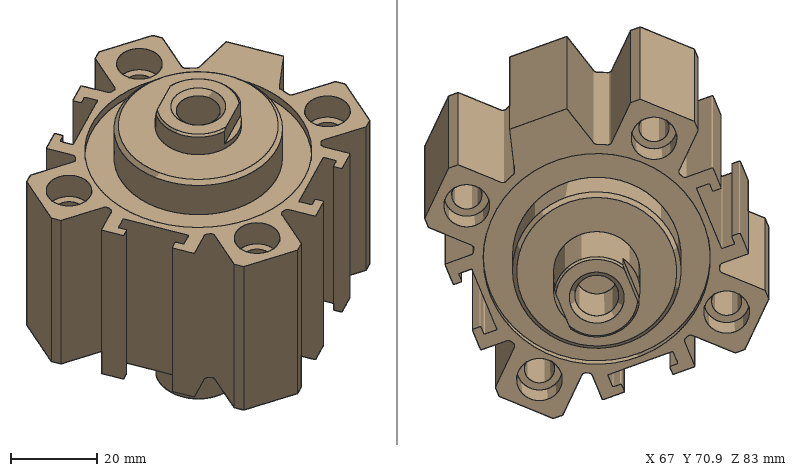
import cadquery as cq
import math


TOTAL_LENGTH = 83.0
HOUSING_HEIGHT = 45.0
COLLAR_HEIGHT = 8.0
ROD_TOP_EXTENSION = 6.0

BODY_SIDE = 67.0
CORE_RADIUS = 28.55
LUG_WIDTH = 17.1
LUG_REACH = 40.5
POCKET_FILLET = 1.0

RAIL_WIDTH = 23.0
RAIL_REACH = 33.3
SLOT_WIDTH = 16.2
SLOT_MOUTH_WIDTH = 11.95
SLOT_FLOOR = 27.9
LIP_THICKNESS = 2.15
RAIL_FILLET = 0.25
RAIL_ANGLES = (-90, 0, 90)

BOSS_REACH = 37.4
BOSS_TOP_WIDTH = 14.2
BOSS_ROOT = 24.9
BOSS_TAPER = 15.0

HOLE_PITCH = 46.5
HOLE_DIAMETER = 7.0
COUNTERBORE_DIAMETER = 10.5
COUNTERBORE_DEPTH = 6.6

RECESS_DIAMETER = 52.5
RECESS_DEPTH = 2.15
COLLAR_DIAMETER = 39.0
COLLAR_CHAMFER = 1.0

ROD_DIAMETER = 20.0
ROD_CHAMFER = 0.5
FLATS_WIDTH = 17.0
FLATS_LENGTH = 4.5
SOCKET_DIAMETER = 10.1
SOCKET_DEPTH = 14.9
COUNTERSINK_DIAMETER = 12.7

PICK_MARGIN = 0.04

HOUSING_TOP = HOUSING_HEIGHT / 2
COLLAR_TOP = HOUSING_TOP + COLLAR_HEIGHT
ROD_TOP = COLLAR_TOP + ROD_TOP_EXTENSION
ROD_BOTTOM = ROD_TOP - TOTAL_LENGTH


def housing_plane():
    """Workplane on the lower end face of the housing."""
    return cq.Workplane("XY").workplane(offset=-HOUSING_TOP)


def housing_prism(sketch):
    """Extrude a closed outline over the full housing height."""
    return sketch.extrude(HOUSING_HEIGHT)


def turn(shape, angle):
    """Rotate a shape about the rod axis."""
    return shape.rotate((0, 0, 0), (0, 0, 1), angle)


def make_lugs():
    """Four diagonal lugs, as two crossed bars trimmed by a square."""
    lugs = housing_prism(housing_plane().rect(2 * LUG_REACH, LUG_WIDTH))
    lugs = lugs.union(housing_prism(housing_plane().rect(LUG_WIDTH, 2 * LUG_REACH)))
    lugs = turn(lugs, 45)
    return lugs.intersect(housing_prism(housing_plane().rect(BODY_SIDE, BODY_SIDE)))


def make_rail():
    """Solid rail on the -Y side, running in to the rod axis."""
    return housing_prism(housing_plane().center(0, -RAIL_REACH / 2).rect(RAIL_WIDTH, RAIL_REACH))


def make_slot():
    """T-slot that opens toward -Y."""
    depth = RAIL_REACH - SLOT_FLOOR
    chamber_depth = depth - LIP_THICKNESS
    chamber = housing_plane().center(0, -SLOT_FLOOR - chamber_depth / 2).rect(SLOT_WIDTH, chamber_depth)
    mouth = housing_plane().center(0, -SLOT_FLOOR - depth / 2).rect(SLOT_MOUTH_WIDTH, depth)
    return housing_prism(chamber).union(housing_prism(mouth))


def cut_slot(body):
    """Cut the T-slot into the -Y rail and round the corners of the rail."""
    body = body.cut(make_slot())
    low_corner = (-RAIL_WIDTH / 2 - PICK_MARGIN, -RAIL_REACH - PICK_MARGIN, -HOUSING_TOP)
    high_corner = (RAIL_WIDTH / 2 + PICK_MARGIN, -SLOT_FLOOR + PICK_MARGIN, HOUSING_TOP)
    corners = cq.selectors.BoxSelector(low_corner, high_corner)
    return body.edges("|Z").edges(corners).fillet(RAIL_FILLET)


def make_boss():
    """Boss whose flanks widen from its outer face toward the core."""
    half_top = BOSS_TOP_WIDTH / 2
    half_root = half_top + (BOSS_REACH - BOSS_ROOT) * math.tan(math.radians(BOSS_TAPER))
    outline = [
        (-half_root, BOSS_ROOT),
        (half_root, BOSS_ROOT),
        (half_top, BOSS_REACH),
        (-half_top, BOSS_REACH),
    ]
    return housing_prism(housing_plane().polyline(outline).close())


def round_pockets(body):
    """Fillet the vertical edges that lie on the core surface."""
    on_core = []
    for edge in body.edges("|Z").vals():
        middle = edge.Center()
        if abs(math.hypot(middle.x, middle.y) - CORE_RADIUS) < PICK_MARGIN:
            on_core.append(edge)
    return body.newObject(on_core).fillet(POCKET_FILLET)


def make_profile():
    """Full-height housing profile, before the holes and ends are machined."""
    body = housing_prism(housing_plane().circle(CORE_RADIUS))
    body = body.union(make_lugs()).union(make_boss())
    for angle in RAIL_ANGLES:
        body = body.union(turn(make_rail(), angle))
    body = round_pockets(body)
    for angle in RAIL_ANGLES:
        body = turn(cut_slot(turn(body, -angle)), angle)
    return body


def hole_centres(level):
    """Centres of the four mounting holes at a given height."""
    plane = cq.Workplane("XY").workplane(offset=level)
    return plane.rect(HOLE_PITCH, HOLE_PITCH, forConstruction=True).vertices()


def drill_mounting_holes(body):
    """Through holes in the lugs, counterbored from both ends."""
    holes = hole_centres(-HOUSING_TOP).circle(HOLE_DIAMETER / 2)
    body = body.cut(housing_prism(holes))
    for level in (-HOUSING_TOP, HOUSING_TOP - COUNTERBORE_DEPTH):
        counterbores = hole_centres(level).circle(COUNTERBORE_DIAMETER / 2)
        body = body.cut(counterbores.extrude(COUNTERBORE_DEPTH))
    return body


def cut_recesses(body):
    """Shallow round recess in each end face."""
    for level in (-HOUSING_TOP, HOUSING_TOP - RECESS_DEPTH):
        recess = cq.Workplane("XY").workplane(offset=level).circle(RECESS_DIAMETER / 2)
        body = body.cut(recess.extrude(RECESS_DEPTH))
    return body


def make_housing():
    """Extruded body with a guide collar at each end and the rod bore."""
    body = cut_recesses(drill_mounting_holes(make_profile()))

    collar = cq.Workplane("XY").circle(COLLAR_DIAMETER / 2).extrude(COLLAR_TOP, both=True)
    collar = collar.faces("<Z or >Z").chamfer(COLLAR_CHAMFER)
    bore = cq.Workplane("XY").circle(ROD_DIAMETER / 2).extrude(COLLAR_TOP, both=True)
    return body.union(collar).cut(bore)


def make_socket():
    """Countersunk blind socket, opening at Z = 0 and running toward -Z."""
    radius = SOCKET_DIAMETER / 2
    mouth_radius = COUNTERSINK_DIAMETER / 2
    outline = [
        (0, 0),
        (mouth_radius, 0),
        (radius, radius - mouth_radius),
        (radius, -SOCKET_DEPTH),
        (0, -SOCKET_DEPTH),
    ]
    return cq.Workplane("XZ").polyline(outline).close().revolve(360, (0, 0), (0, 1))


def make_flats():
    """Cutter for a pair of wrench flats facing -X and +X, below Z = 0."""
    disc = cq.Workplane("XY").circle(ROD_DIAMETER).extrude(-FLATS_LENGTH)
    return disc.cut(cq.Workplane("XY").rect(FLATS_WIDTH, 2 * ROD_DIAMETER).extrude(-FLATS_LENGTH))


def make_rod():
    """Through rod with flats and a socket at both ends."""
    rod = cq.Workplane("XY").workplane(offset=ROD_BOTTOM).circle(ROD_DIAMETER / 2).extrude(TOTAL_LENGTH)
    rod = rod.faces("<Z or >Z").chamfer(ROD_CHAMFER)
    end_cut = make_socket().union(make_flats())
    rod = rod.cut(end_cut.translate((0, 0, ROD_TOP)))
    return rod.cut(end_cut.mirror("XY").translate((0, 0, ROD_BOTTOM)))


housing = make_housing()
rod = make_rod()
result = cq.Compound.makeCompound([housing.val(), rod.val()])